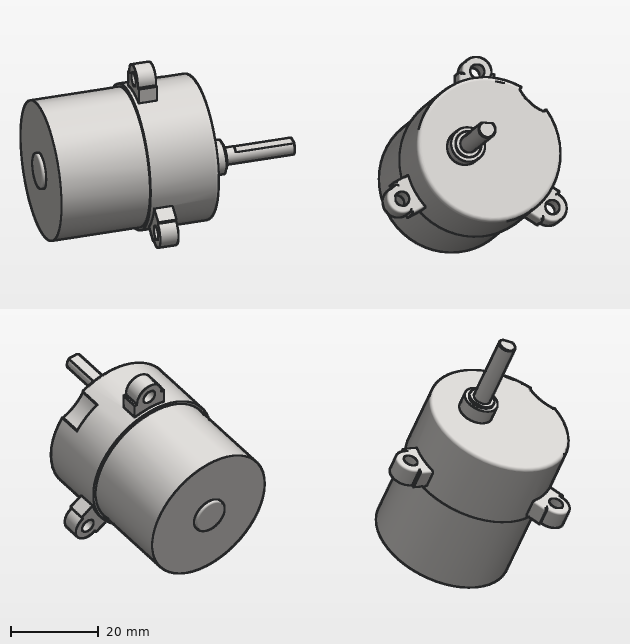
import cadquery as cq
import math


can_radius = 16.3
can_length = 21.1
rear_boss_radius = 4.2
rear_boss_height = 0.95
rear_boss_fillet = 0.5

gearbox_radius = 17.0
gearbox_length = 16.5
gearbox_fillet = 1.0

lug_count = 3
lug_hole_distance = 20.5
lug_tip_radius = 3.5
lug_hole_diameter = 3.3
lug_base_width = 8.4
lug_shoulder_distance = 20.1
lug_thickness = 4.5
lug_setback = 1.0
lug_fillet = 0.55
lug_root_depth = 2.35
lug_root_distance = gearbox_radius - lug_root_depth

notch_angle = 130.0
notch_width = 7.6
notch_length = 6.0
notch_wall_distance = 15.55
notch_floor_radius = 10.5
notch_overcut = 1.2

shaft_offset = 6.05
front_boss_radius = 4.0
front_boss_height = 3.6
bushing_radius = 3.0
bushing_height = 0.55

shaft_radius = 2.0
shaft_reach = 16.5
shaft_tip_chamfer = 0.2
flat_height = 1.5
flat_length = 14.0

bushing_face = gearbox_length + front_boss_height + bushing_height
shaft_end = bushing_face + shaft_reach


def cylinder_along_y(radius, start, end, x=0.0):
    """Cylinder parallel to Y between two Y positions."""
    return cq.Workplane("XZ", origin=(x, end, 0)).circle(radius).extrude(end - start)


def make_can():
    can = cylinder_along_y(can_radius, -can_length, 0)
    boss = cylinder_along_y(rear_boss_radius, -can_length - rear_boss_height, -can_length)
    boss = boss.faces("<Y").edges().fillet(rear_boss_fillet)
    return can.union(boss)


def make_notch_cutter():
    """Slot with parallel walls and a concave floor, open to the rim and the front."""
    half_width = notch_width / 2
    outer_distance = gearbox_radius + notch_overcut
    floor_sag = notch_floor_radius - math.sqrt(notch_floor_radius**2 - half_width**2)
    return (
        cq.Workplane("XZ", origin=(0, gearbox_length, 0))
        .moveTo(outer_distance, -half_width)
        .lineTo(notch_wall_distance, -half_width)
        .threePointArc((notch_wall_distance - floor_sag, 0), (notch_wall_distance, half_width))
        .lineTo(outer_distance, half_width)
        .close()
        .extrude(notch_length)
        .rotate((0, 0, 0), (0, 1, 0), -notch_angle)
    )


def make_gearbox():
    gearbox = cylinder_along_y(gearbox_radius, 0, gearbox_length)
    gearbox = gearbox.faces(">Y").edges().fillet(gearbox_fillet)
    return gearbox.cut(make_notch_cutter())


def make_lug():
    """Lug pointing to +Z: a wide base with shoulders and a round, drilled tip."""
    half_base = lug_base_width / 2
    lug = (
        cq.Workplane("XZ", origin=(0, lug_setback + lug_thickness, 0))
        .moveTo(-half_base, lug_root_distance)
        .lineTo(half_base, lug_root_distance)
        .lineTo(half_base, lug_shoulder_distance)
        .lineTo(lug_tip_radius, lug_shoulder_distance)
        .lineTo(lug_tip_radius, lug_hole_distance)
        .threePointArc((0, lug_hole_distance + lug_tip_radius), (-lug_tip_radius, lug_hole_distance))
        .lineTo(-lug_tip_radius, lug_shoulder_distance)
        .lineTo(-half_base, lug_shoulder_distance)
        .close()
        .extrude(lug_thickness)
    )
    lug = lug.faces(">Y").edges().fillet(lug_fillet)
    hole = (
        cq.Workplane("XZ", origin=(0, lug_setback + lug_thickness, lug_hole_distance))
        .circle(lug_hole_diameter / 2)
        .extrude(lug_thickness)
    )
    return lug.cut(hole)


def make_front_boss():
    boss_face = gearbox_length + front_boss_height
    boss = cylinder_along_y(front_boss_radius, gearbox_length, boss_face, shaft_offset)
    bushing = cylinder_along_y(bushing_radius, boss_face, bushing_face, shaft_offset)
    return boss.union(bushing)


def make_housing():
    housing = make_can().union(make_gearbox()).union(make_front_boss())
    lug = make_lug()
    for index in range(lug_count):
        housing = housing.union(lug.rotate((0, 0, 0), (0, 1, 0), index * 360 / lug_count))
    shaft_bore = cylinder_along_y(shaft_radius, gearbox_length, bushing_face, shaft_offset)
    return housing.cut(shaft_bore)


def make_shaft():
    """Shaft seated in the front boss, with a flat on its +Z side at the free end."""
    shaft = cylinder_along_y(shaft_radius, gearbox_length, shaft_end, shaft_offset)
    shaft = shaft.faces(">Y").edges().chamfer(shaft_tip_chamfer)
    flat_cutter = cq.Workplane("XY").box(
        2 * shaft_radius, flat_length, shaft_radius, centered=(True, False, False)
    )
    return shaft.cut(flat_cutter.translate((shaft_offset, shaft_end - flat_length, flat_height)))


housing = make_housing()
shaft = make_shaft()
result = cq.Compound.makeCompound([housing.val(), shaft.val()])